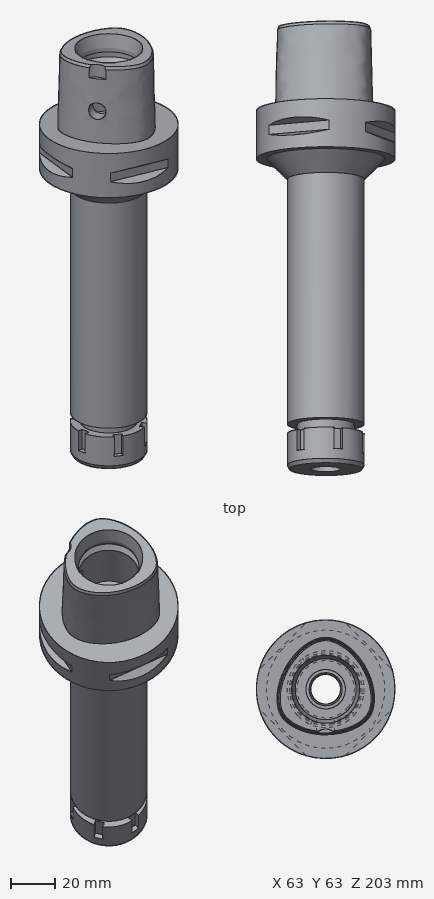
import cadquery as cq
import math

TOTAL_LENGTH = 203.0
SHANK_LENGTH = 38.0
FLANGE_HEIGHT = 22.1
SHANK_BASE_Z = TOTAL_LENGTH - SHANK_LENGTH
FLANGE_BOTTOM_Z = SHANK_BASE_Z - FLANGE_HEIGHT

SHANK_BASE_RADIUS = 22.1
SHANK_LOBE = 1.5
LOBE_COUNT = 3
CURVE_STEPS = 24
TAPER = 1 / 20
SHANK_CHAMFER_HEIGHT = 1.5
SHANK_CHAMFER_WIDTH = 0.6

FLANGE_RADIUS = 31.5
HOLDER_RADIUS = 17.5
CONE_HEIGHT = 9.3
CONE_TOP_RADIUS = HOLDER_RADIUS + CONE_HEIGHT
HOLDER_BOTTOM_Z = 20.7

GROOVE_COUNT = 4
GROOVE_Z = 153.0
GROOVE_DEPTH = 3.9
GROOVE_FLOOR_HEIGHT = 4.3
GROOVE_MOUTH_HEIGHT = 8.1

BORE_MOUTH_RADIUS = 15.5
BORE_RADIUS = 13.8
BORE_TAPER_DEPTH = 6.5
UNDERCUT_RADIUS = 15.8
UNDERCUT_START_DEPTH = 8.3
UNDERCUT_END_DEPTH = 11.8
SEAT_DEPTH = UNDERCUT_END_DEPTH + UNDERCUT_RADIUS - BORE_RADIUS
BORE_DEPTH = SHANK_LENGTH
CHANNEL_RADIUS = 9.0

NOTCH_DEPTH = 6.3
NOTCH_FLOOR_Y = -18.0
NOTCH_CUTTER_RADIUS = 5.7
PIN_HOLE_Z = 180.7
PIN_HOLE_RADIUS = 4.0

NECK_RADIUS = 13.0
NUT_RADIUS = HOLDER_RADIUS
NUT_HEIGHT = 16.2
NUT_FLOOR = 3.7
NUT_CHAMFER_HEIGHT = 1.8
NUT_CHAMFER_WIDTH = 1.0
NUT_HOLE_RADIUS = 6.7
NUT_HOLE_MOUTH_RADIUS = 7.5
SLOT_COUNT = 6
SLOT_WIDTH = 4.0
SLOT_LENGTH = 9.7
SLOT_DEPTH = 2.5


def revolved(profile):
    """Solid of revolution about Z from (radius, z) points."""
    return cq.Workplane("XZ").polyline(profile).close().revolve(360, (0, 0), (0, 1))


def polygon_point(radius, angle, z):
    """Point of the polygon outline whose outward normal lies at this angle from -Y."""
    reach = radius - SHANK_LOBE * math.cos(LOBE_COUNT * angle)
    slide = LOBE_COUNT * SHANK_LOBE * math.sin(LOBE_COUNT * angle)
    outward = cq.Vector(math.sin(angle), -math.cos(angle), 0)
    sideways = cq.Vector(math.cos(angle), math.sin(angle), 0)
    return outward * reach + sideways * slide + cq.Vector(0, 0, z)


def polygon_wire(radius, z):
    """Smooth closed three-lobed outline with one lobe on +Y."""
    points = [polygon_point(radius, 2 * math.pi * step / CURVE_STEPS, z) for step in range(CURVE_STEPS)]
    return cq.Wire.assembleEdges([cq.Edge.makeSpline(points, periodic=True)])


def shank():
    """Tapered polygon shank with a chamfered end."""
    chamfer_z = TOTAL_LENGTH - SHANK_CHAMFER_HEIGHT
    chamfer_radius = SHANK_BASE_RADIUS - (chamfer_z - SHANK_BASE_Z) * TAPER / 2
    base = polygon_wire(SHANK_BASE_RADIUS, SHANK_BASE_Z)
    shoulder = polygon_wire(chamfer_radius, chamfer_z)
    end = polygon_wire(chamfer_radius - SHANK_CHAMFER_WIDTH, TOTAL_LENGTH)
    taper = cq.Workplane(cq.Solid.makeLoft([base, shoulder], True))
    chamfer = cq.Workplane(cq.Solid.makeLoft([shoulder, end], True))
    return taper.union(chamfer)


def turned_holder():
    """Flange, cone, round holder and neck as one turned solid."""
    return revolved([
        (0, SHANK_BASE_Z),
        (FLANGE_RADIUS, SHANK_BASE_Z),
        (FLANGE_RADIUS, FLANGE_BOTTOM_Z),
        (CONE_TOP_RADIUS, FLANGE_BOTTOM_Z),
        (HOLDER_RADIUS, FLANGE_BOTTOM_Z - CONE_HEIGHT),
        (HOLDER_RADIUS, HOLDER_BOTTOM_Z),
        (NECK_RADIUS, HOLDER_BOTTOM_Z),
        (NECK_RADIUS, NUT_FLOOR),
        (0, NUT_FLOOR),
    ])


def stepped_bore():
    """Cutter for the tapered mouth, undercut, seat, bore and through channel."""
    def at(depth):
        return TOTAL_LENGTH - depth

    return revolved([
        (0, at(0)),
        (BORE_MOUTH_RADIUS, at(0)),
        (BORE_RADIUS, at(BORE_TAPER_DEPTH)),
        (BORE_RADIUS, at(UNDERCUT_START_DEPTH)),
        (UNDERCUT_RADIUS, at(UNDERCUT_START_DEPTH)),
        (UNDERCUT_RADIUS, at(UNDERCUT_END_DEPTH)),
        (BORE_RADIUS, at(SEAT_DEPTH)),
        (BORE_RADIUS, at(BORE_DEPTH)),
        (CHANNEL_RADIUS, at(BORE_DEPTH)),
        (CHANNEL_RADIUS, NUT_FLOOR),
        (0, NUT_FLOOR),
    ])


def gripper_groove(angle):
    """Straight groove with sloped walls, cut across the flange at one angle."""
    floor_x = FLANGE_RADIUS - GROOVE_DEPTH
    half_floor = GROOVE_FLOOR_HEIGHT / 2
    half_mouth = GROOVE_MOUTH_HEIGHT / 2
    section = [
        (floor_x, GROOVE_Z - half_floor),
        (FLANGE_RADIUS, GROOVE_Z - half_mouth),
        (FLANGE_RADIUS, GROOVE_Z + half_mouth),
        (floor_x, GROOVE_Z + half_floor),
    ]
    groove = cq.Workplane("XZ").polyline(section).close().extrude(FLANGE_RADIUS, both=True)
    return groove.rotate((0, 0, 0), (0, 0, 1), angle)


def key_notch():
    """Round-bottomed notch open to the shank end, deepest at NOTCH_FLOOR_Y."""
    center = (0, NOTCH_FLOOR_Y - NOTCH_CUTTER_RADIUS, TOTAL_LENGTH - NOTCH_DEPTH)
    return cq.Workplane("XY", origin=center).circle(NOTCH_CUTTER_RADIUS).extrude(NOTCH_DEPTH)


def pin_hole():
    """Radial hole from the bore out through the -Y side of the shank."""
    start = cq.Workplane("XZ", origin=(0, 0, PIN_HOLE_Z))
    return start.circle(PIN_HOLE_RADIUS).extrude(SHANK_BASE_RADIUS)


def build_holder():
    holder = turned_holder().union(shank()).cut(stepped_bore())
    for index in range(GROOVE_COUNT):
        holder = holder.cut(gripper_groove(360 / GROOVE_COUNT * (index + 0.5)))
    return holder.cut(key_notch()).cut(pin_hole())


def spanner_slot(angle):
    """Slot in the nut's side, open at its top face."""
    slot = cq.Workplane("XY").box(SLOT_DEPTH, SLOT_WIDTH, SLOT_LENGTH, centered=(False, True, False))
    slot = slot.translate((NUT_RADIUS - SLOT_DEPTH, 0, NUT_HEIGHT - SLOT_LENGTH))
    return slot.rotate((0, 0, 0), (0, 0, 1), angle)


def build_nut():
    """Nut that seats the neck in its recess, with a conical hole in its floor."""
    nut = revolved([
        (NUT_HOLE_RADIUS, 0),
        (NUT_RADIUS - NUT_CHAMFER_WIDTH, 0),
        (NUT_RADIUS, NUT_CHAMFER_HEIGHT),
        (NUT_RADIUS, NUT_HEIGHT),
        (NECK_RADIUS, NUT_HEIGHT),
        (NECK_RADIUS, NUT_FLOOR),
        (NUT_HOLE_MOUTH_RADIUS, NUT_FLOOR),
    ])
    for index in range(SLOT_COUNT):
        nut = nut.cut(spanner_slot(360 / SLOT_COUNT * index))
    return nut


holder = build_holder()
nut = build_nut()
result = cq.Compound.makeCompound([holder.val(), nut.val()])